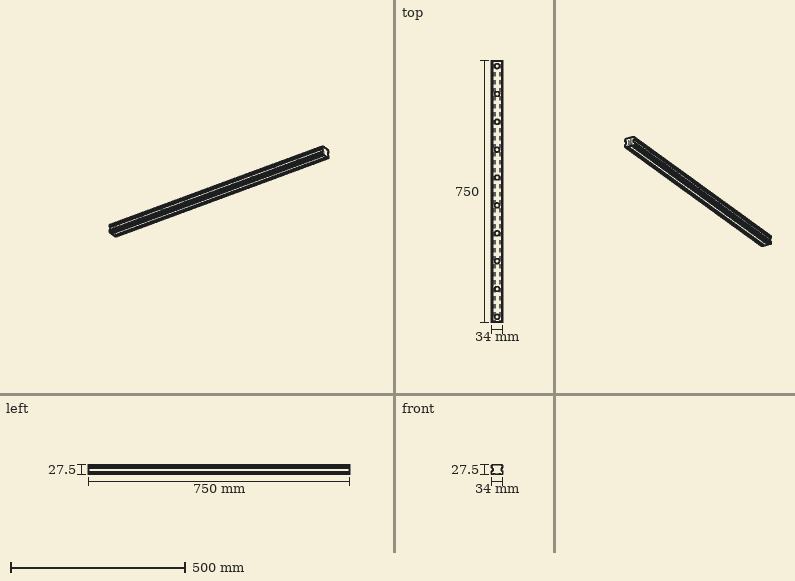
import cadquery as cq

rail_length = 750.0
rail_width = 34.0
rail_height = 27.5
half_width = rail_width / 2

top_half_width = 13.0
bevel_half_width = 14.4
upper_groove_top = 26.1
head_side_top = 23.6
head_side_bottom = 20.5
lower_groove_bottom = 17.5
groove_sag = 0.7

waist_half_width = 12.3
waist_top = 15.9
waist_foot = 11.35
waist_corner_radius = 1.9

shoulder_half_width = 16.5
shoulder_bottom = waist_foot - (shoulder_half_width - waist_half_width)
flange_side_top = 6.1
bottom_chamfer = 2.1

relief_offset = 8.2
relief_mouth_width = 4.6
relief_depth = 1.1
relief_floor_width = relief_mouth_width - 2 * relief_depth

hole_count = 10
hole_pitch = 80.0
cap_diameter = 14.0
cap_recess = 0.2


def rail_half():
    """The +X half of the rail, with its cross-section drawn upwards from the bottom centre."""
    outline = (
        cq.Workplane("XZ")
        .lineTo(half_width - bottom_chamfer, 0)
        .lineTo(half_width, bottom_chamfer)
        .lineTo(half_width, flange_side_top)
        .lineTo(shoulder_half_width, shoulder_bottom)
        .lineTo(waist_half_width, waist_foot)
        .lineTo(waist_half_width, waist_top)
        .lineTo(bevel_half_width, lower_groove_bottom)
        .sagittaArc((half_width, head_side_bottom), groove_sag)
        .lineTo(half_width, head_side_top)
        .sagittaArc((bevel_half_width, upper_groove_top), groove_sag)
        .lineTo(top_half_width, rail_height)
        .lineTo(0, rail_height)
        .close()
    )
    half = outline.extrude(rail_length / 2, both=True)
    for corner_height in (waist_foot, waist_top):
        corner_edge = cq.selectors.NearestToPointSelector((waist_half_width, 0, corner_height))
        half = half.edges(corner_edge).fillet(waist_corner_radius)
    return half


def relief_grooves():
    mouth = relief_mouth_width / 2
    floor = relief_floor_width / 2
    groove = (
        cq.Workplane("XZ")
        .polyline([(-mouth, 0), (mouth, 0), (floor, relief_depth), (-floor, relief_depth)])
        .close()
        .extrude(rail_length / 2, both=True)
        .translate((relief_offset, 0, 0))
    )
    return groove.union(groove.mirror("YZ"))


def cap_recesses():
    return (
        cq.Workplane("XY")
        .workplane(offset=rail_height)
        .rarray(1, hole_pitch, 1, hole_count)
        .circle(cap_diameter / 2)
        .extrude(-cap_recess)
    )


half = rail_half()
rail = half.union(half.mirror("YZ"))

result = rail.cut(relief_grooves()).cut(cap_recesses())